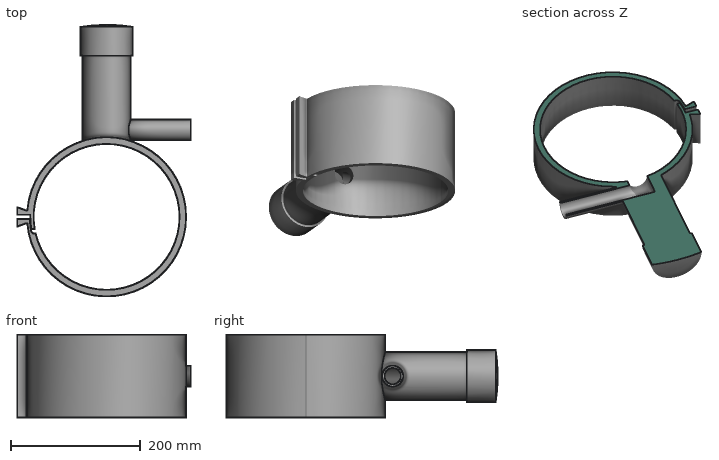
import cadquery as cq
import math

overall_length = 419.0

ring_height = 128.0
ring_radius = 122.7
ring_bore_radius = 112.3
mid_height = ring_height / 2

lug_tip_x = -138.0
lug_root_x = -124.0
lug_inner_x = -117.3
lug_gap = 6.3
lug_tip_y = 15.0
lug_root_y = 10.0

tongue_radius = 117.5
lap_clearance = 0.5
tongue_end_y = -19.0
socket_end_y = -25.5
socket_corner_radius = 4.5

pipe_radius = 75.0 / 2
cap_radius = 40.5
cap_start_y = 248.5
cap_rim_y = 292.8
cap_tip_y = overall_length - ring_radius

side_pipe_radius = 32.3 / 2
side_pipe_y = 134.0
side_pipe_end_x = 130.0
passage_radius = 16.0
side_bore_radius = 12.5


def upright(radius):
    """Solid cylinder of the full ring height on the Z axis."""
    return cq.Workplane("XY").circle(radius).extrude(ring_height)


def y_cylinder(radius, start_y, end_y):
    """Cylinder along +Y at mid height."""
    plane = cq.Plane(origin=(0, start_y, mid_height), xDir=(1, 0, 0), normal=(0, 1, 0))
    return cq.Workplane(plane).circle(radius).extrude(end_y - start_y)


def x_cylinder(radius, start_x, end_x):
    """Cylinder along +X at mid height, on the side pipe axis."""
    plane = cq.Plane(origin=(start_x, side_pipe_y, mid_height), xDir=(0, 1, 0), normal=(1, 0, 0))
    return cq.Workplane(plane).circle(radius).extrude(end_x - start_x)


def block(start_x, end_x, low_y, high_y):
    """Rectangular block of the full ring height."""
    size_x = end_x - start_x
    size_y = high_y - low_y
    return (
        cq.Workplane("XY")
        .box(size_x, size_y, ring_height, centered=False)
        .translate((start_x, low_y, 0))
    )


def lug(side):
    """Lug that widens towards its tip; side is +1 or -1 along Y."""
    outline = [
        (lug_inner_x, side * lug_gap / 2),
        (lug_tip_x, side * lug_gap / 2),
        (lug_tip_x, side * lug_tip_y),
        (lug_root_x, side * lug_root_y),
        (lug_inner_x, side * lug_root_y),
    ]
    return cq.Workplane("XY").polyline(outline).close().extrude(ring_height)


def lap_opening():
    """Split between the lugs and the stepped socket, without the space filled by the tongue."""
    split = block(lug_tip_x, -ring_bore_radius, -lug_gap / 2, lug_gap / 2)
    socket_zone = block(-ring_radius, -ring_bore_radius / 2, socket_end_y, lug_gap / 2)
    socket = upright(tongue_radius + lap_clearance).intersect(socket_zone)
    socket_corner_x = -math.sqrt((tongue_radius + lap_clearance) ** 2 - socket_end_y**2)
    corner = cq.selectors.NearestToPointSelector((socket_corner_x, socket_end_y, mid_height))
    socket = socket.edges("|Z").edges(corner).fillet(socket_corner_radius)
    tongue_zone = block(-ring_radius, -ring_bore_radius / 2, tongue_end_y, lug_gap / 2)
    tongue = upright(tongue_radius).intersect(tongue_zone)
    return split.union(socket).cut(tongue)


def domed_cap():
    """Cap on the end of the branch pipe, closed by a shallow spherical dome."""
    dome_height = cap_tip_y - cap_rim_y
    dome_radius = (cap_radius**2 + dome_height**2) / (2 * dome_height)
    half_angle = math.asin(cap_radius / dome_radius) / 2
    arc_x = dome_radius * math.sin(half_angle)
    arc_y = cap_tip_y - dome_radius * (1 - math.cos(half_angle))
    return (
        cq.Workplane("XY", origin=(0, 0, mid_height))
        .moveTo(0, cap_start_y)
        .lineTo(cap_radius, cap_start_y)
        .lineTo(cap_radius, cap_rim_y)
        .threePointArc((arc_x, arc_y), (0, cap_tip_y))
        .close()
        .revolve(360, (0, 0, 0), (0, 1, 0))
    )


body = upright(ring_radius)
body = body.union(lug(1)).union(lug(-1))
body = body.union(y_cylinder(pipe_radius, 0, cap_start_y)).union(domed_cap())
body = body.union(x_cylinder(side_pipe_radius, 0, side_pipe_end_x))
body = body.cut(upright(ring_bore_radius)).cut(lap_opening())
body = body.cut(y_cylinder(passage_radius, 0, side_pipe_y + side_bore_radius))
result = body.cut(x_cylinder(side_bore_radius, 0, side_pipe_end_x))